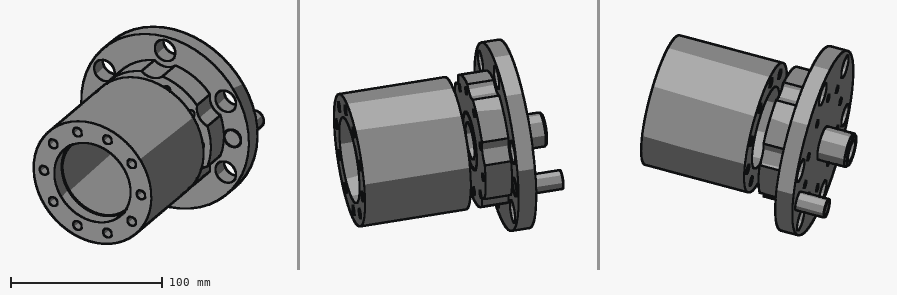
import cadquery as cq
import math

OVERALL_LENGTH = 132.0

SLEEVE_LENGTH = 72.0
GAP = 10.0
HUB_LENGTH = 18.0
FLANGE_THICKNESS = 12.0

FRONT = -OVERALL_LENGTH / 2
BACK = OVERALL_LENGTH / 2
SLEEVE_BACK = FRONT + SLEEVE_LENGTH
HUB_FRONT = SLEEVE_BACK + GAP
FLANGE_FRONT = HUB_FRONT + HUB_LENGTH
FLANGE_BACK = FLANGE_FRONT + FLANGE_THICKNESS

BARREL_DIAMETER = 88.8
SLEEVE_BORE = 56.0
SLEEVE_COUNTERBORE = 57.5
SLEEVE_COUNTERBORE_DEPTH = 10.0

SCREW_COUNT = 10
SCREW_CIRCLE_RADIUS = 36.5
SLEEVE_SCREW_HOLE = 6.5
HUB_SCREW_HOLE = 5.0

FLANGE_DIAMETER = 126.5
MOUNT_COUNT = 6
MOUNT_CIRCLE_RADIUS = 52.8
MOUNT_HOLE = 15.5
SCALLOP_DIAMETER = 24.0
MOUNT_START_ANGLE = 90.0

HEAD_DIAMETER = 39.5
HEAD_CHAMFER = 0.9
SPIGOT_DIAMETER = 23.0
SPIGOT_CHAMFER = 1.3
BUSH_BORE = 15.0
BUSH_COUNTERBORE = 25.0
BUSH_COUNTERBORE_DEPTH = HUB_LENGTH / 2

DOWEL_DIAMETER = 12.8
DOWEL_CHAMFER = 0.4
DOWEL_X = 50.8


def cylinder(diameter, start, end, center=(0, 0)):
    """Cylinder along Y from start to end, its axis at center (x, z)."""
    x, z = center
    return cq.Workplane(
        cq.Solid.makeCylinder(diameter / 2, end - start, cq.Vector(x, start, z), cq.Vector(0, 1, 0))
    )


def ring_points(count, radius, start_angle=0.0):
    """Evenly spaced (x, z) points on a circle about the main axis."""
    angles = [math.radians(start_angle + 360 / count * i) for i in range(count)]
    return [(radius * math.cos(a), radius * math.sin(a)) for a in angles]


SCREW_POINTS = ring_points(SCREW_COUNT, SCREW_CIRCLE_RADIUS)
MOUNT_POINTS = ring_points(MOUNT_COUNT, MOUNT_CIRCLE_RADIUS, MOUNT_START_ANGLE)


def make_sleeve():
    body = cylinder(BARREL_DIAMETER, FRONT, SLEEVE_BACK)
    body = body.cut(cylinder(SLEEVE_BORE, FRONT, SLEEVE_BACK))
    body = body.cut(cylinder(SLEEVE_COUNTERBORE, FRONT, FRONT + SLEEVE_COUNTERBORE_DEPTH))
    for point in SCREW_POINTS:
        body = body.cut(cylinder(SLEEVE_SCREW_HOLE, FRONT, SLEEVE_BACK, point))
    return body


def make_flange():
    hub = cylinder(BARREL_DIAMETER, HUB_FRONT, FLANGE_FRONT)
    for point in MOUNT_POINTS:
        hub = hub.cut(cylinder(SCALLOP_DIAMETER, HUB_FRONT, FLANGE_FRONT, point))
    body = cylinder(FLANGE_DIAMETER, FLANGE_FRONT, FLANGE_BACK).union(hub)
    for point in MOUNT_POINTS:
        body = body.cut(cylinder(MOUNT_HOLE, FLANGE_FRONT, FLANGE_BACK, point))
    for point in SCREW_POINTS:
        body = body.cut(cylinder(HUB_SCREW_HOLE, HUB_FRONT, FLANGE_BACK, point))
    body = body.cut(cylinder(HEAD_DIAMETER, HUB_FRONT, FLANGE_FRONT))
    body = body.cut(cylinder(SPIGOT_DIAMETER, FLANGE_FRONT, FLANGE_BACK))
    return body.cut(cylinder(DOWEL_DIAMETER, FLANGE_FRONT, FLANGE_BACK, (DOWEL_X, 0)))


def make_bush():
    head = cylinder(HEAD_DIAMETER, HUB_FRONT, FLANGE_FRONT).faces("<Y").chamfer(HEAD_CHAMFER)
    spigot = cylinder(SPIGOT_DIAMETER, FLANGE_FRONT, BACK).faces(">Y").chamfer(SPIGOT_CHAMFER)
    body = head.union(spigot).cut(cylinder(BUSH_BORE, HUB_FRONT, BACK))
    return body.cut(cylinder(BUSH_COUNTERBORE, HUB_FRONT, HUB_FRONT + BUSH_COUNTERBORE_DEPTH))


def make_dowel():
    body = cylinder(DOWEL_DIAMETER, FLANGE_FRONT, BACK, (DOWEL_X, 0))
    return body.faces("<Y or >Y").chamfer(DOWEL_CHAMFER)


sleeve = make_sleeve()
flange = make_flange()
bush = make_bush()
dowel = make_dowel()

result = cq.Compound.makeCompound([sleeve.val(), flange.val(), bush.val(), dowel.val()])